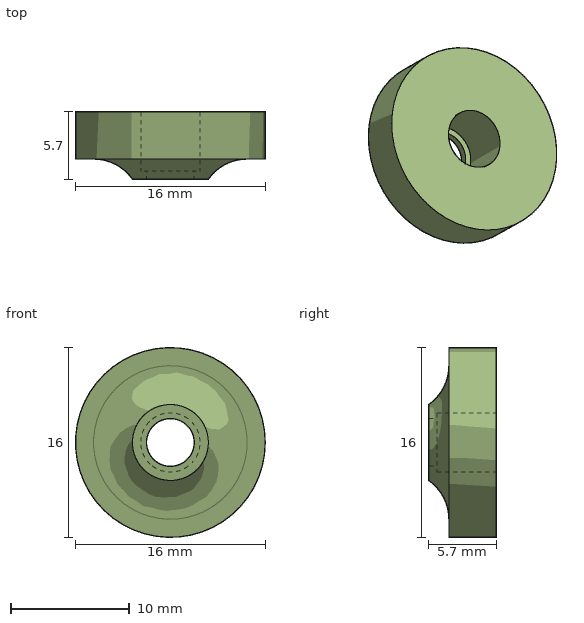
import cadquery as cq
import math

wheel_diameter = 16.0
wheel_width = 4.0
total_width = 5.7
hub_diameter = 6.4
bore_diameter = 4.0
counterbore_diameter = 5.0
lip_thickness = 0.7
flare_radius = 4.0

wheel_radius = wheel_diameter / 2
hub_radius = hub_diameter / 2
bore_radius = bore_diameter / 2
counterbore_radius = counterbore_diameter / 2
hub_height = total_width - wheel_width
step_y = lip_thickness - hub_height


def flare_reach(height):
    """Radial distance from the foot of the flare to its surface at a height."""
    return math.sqrt(flare_radius**2 - (flare_radius - height) ** 2)


def flare_height(reach):
    """Height of the flare at a radial distance from its foot."""
    return flare_radius - math.sqrt(flare_radius**2 - reach**2)


flare_width = flare_reach(hub_height)
flare_foot = hub_radius + flare_width
flare_middle = flare_width / 2

half_section = (
    cq.Workplane("XY")
    .moveTo(counterbore_radius, wheel_width)
    .lineTo(wheel_radius, wheel_width)
    .lineTo(wheel_radius, 0)
    .lineTo(flare_foot, 0)
    .threePointArc(
        (flare_foot - flare_middle, -flare_height(flare_middle)),
        (hub_radius, -hub_height),
    )
    .lineTo(bore_radius, -hub_height)
    .lineTo(bore_radius, step_y)
    .lineTo(counterbore_radius, step_y)
    .close()
)

result = half_section.revolve(360, (0, 0, 0), (0, 1, 0))